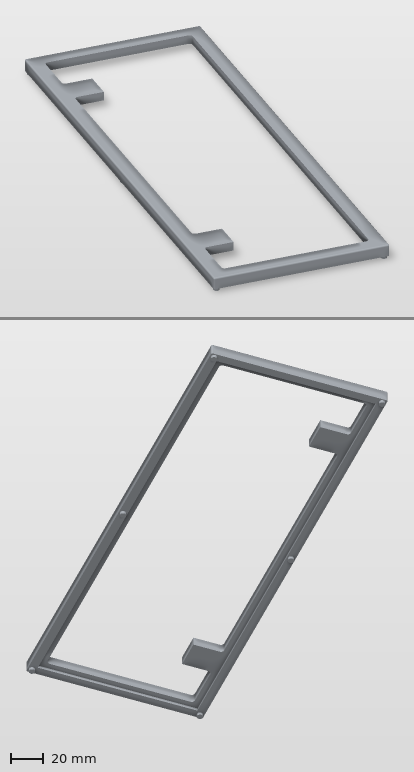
import cadquery as cq

length = 305.8
width = 115.3
total_height = 9.5

foot_height = 1.8
bar_width = 9.5
outer_corner_radius = 1.0
inner_corner_radius = 2.0
top_edge_radius = 1.0
frame_height = total_height - foot_height

rim_width = 5.5
rim_depth = 1.8

tab_width = 18.5
tab_reach = 28.7
tab_center_x = 104.5

foot_diameter = 4.0
foot_inset = rim_width / 2


def make_frame():
    """Rectangular frame with two tabs, resting on Z = 0."""
    frame = (
        cq.Workplane("XY")
        .rect(length, width)
        .extrude(frame_height)
        .edges("|Z")
        .fillet(outer_corner_radius)
        .faces(">Z")
        .edges()
        .fillet(top_edge_radius)
    )
    return frame.cut(make_opening()).cut(make_recess())


def make_opening():
    """Through opening of the frame, notched around the tabs."""
    half_x = length / 2 - bar_width
    front_y = bar_width - width / 2
    back_y = width / 2 - bar_width
    tab_end_y = tab_reach - width / 2
    tab_outer_x = tab_center_x + tab_width / 2
    tab_inner_x = tab_center_x - tab_width / 2
    opening = (
        cq.Workplane("XY")
        .moveTo(-half_x, back_y)
        .lineTo(-half_x, front_y)
        .lineTo(-tab_outer_x, front_y)
        .lineTo(-tab_outer_x, tab_end_y)
        .lineTo(-tab_inner_x, tab_end_y)
        .lineTo(-tab_inner_x, front_y)
        .lineTo(tab_inner_x, front_y)
        .lineTo(tab_inner_x, tab_end_y)
        .lineTo(tab_outer_x, tab_end_y)
        .lineTo(tab_outer_x, front_y)
        .lineTo(half_x, front_y)
        .lineTo(half_x, back_y)
        .close()
        .extrude(frame_height)
    )
    return opening.edges("|Z").edges("<Y or >Y").fillet(inner_corner_radius)


def make_recess():
    """Shallow recess in the underside, inside the rim."""
    return (
        cq.Workplane("XY")
        .rect(length - 2 * rim_width, width - 2 * rim_width)
        .extrude(rim_depth)
    )


def make_feet():
    """Round feet under the corners and the middles of the long bars."""
    foot_x = length / 2 - foot_inset
    foot_y = width / 2 - foot_inset
    centers = [(x, y) for x in (-foot_x, 0, foot_x) for y in (-foot_y, foot_y)]
    return (
        cq.Workplane("XY")
        .workplane(offset=-foot_height)
        .pushPoints(centers)
        .circle(foot_diameter / 2)
        .extrude(foot_height)
    )


result = make_frame().union(make_feet())